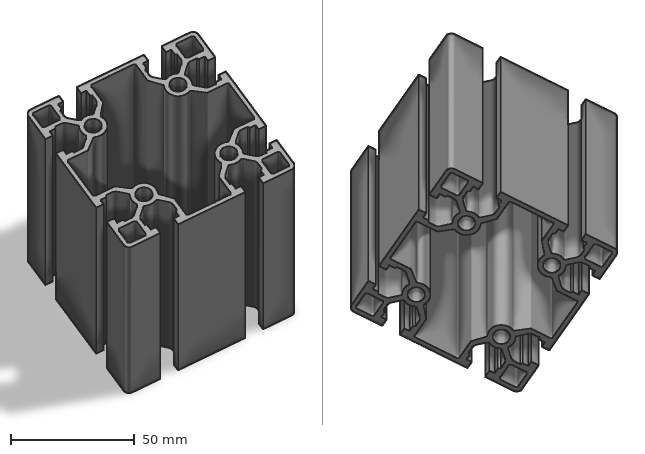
import cadquery as cq

side = 80.0
length = 100.0
wall = 2.0
corner_radius = 2.5
half_side = side / 2

slot_offset = 20.0
mouth_width = 8.3
mouth_half = mouth_width / 2
lip_depth = 3.5
neck_half = 6.6
step_start_depth = 6.1
step_end_depth = 6.7
channel_half = 7.5
channel_depth = 10.7
channel_radius = 3.0
slot_tip_depth = channel_depth + channel_half

boss_radius = 5.7
bore_radius = 3.5
boss_fillet = 1.0

hollow_size = 8.5
hollow_radius = 1.0

cavity_half = half_side - wall
slot_wall = 2.0
web_inner = slot_offset - channel_half - slot_wall
web_bend_depth = 11.9
web_bend = half_side - web_bend_depth
cavity_radius = 0.7
web_run = 5.0
web_rise = 4.2
web_meet = (web_rise * web_bend + web_run * web_inner) / (web_run + web_rise)


def corner_points(offset):
    """Four points at +-offset along both X and Y."""
    return [(x, y) for x in (-offset, offset) for y in (-offset, offset)]


boss_centers = corner_points(slot_offset)


def make_slot(offset):
    """T-slot cutter in the +Y face, its centre line at x = offset."""
    half_outline = [
        (mouth_half, 0),
        (mouth_half, lip_depth),
        (neck_half, lip_depth),
        (neck_half, step_start_depth),
        (channel_half, step_end_depth),
        (channel_half, channel_depth),
    ]
    right = [(offset + half, half_side - depth) for half, depth in half_outline]
    left = [(offset - half, half_side - depth) for half, depth in reversed(half_outline)]
    tip = (offset, half_side - slot_tip_depth)
    slot = cq.Workplane("XY").polyline(right + [tip] + left).close().extrude(length)
    for x in (offset - channel_half, offset + channel_half):
        bend = cq.selectors.NearestToPointSelector((x, half_side - channel_depth, length / 2))
        slot = slot.edges("|Z").edges(bend).fillet(channel_radius)
    return slot


def make_cavity():
    """Central cross-shaped cavity, narrowed towards the bosses."""
    corner = [
        (cavity_half, web_inner),
        (web_bend, web_inner),
        (web_meet, web_meet),
        (web_inner, web_bend),
        (web_inner, cavity_half),
    ]
    outline = []
    for _ in range(4):
        outline += corner
        corner = [(-y, x) for x, y in corner]
    return cq.Workplane("XY").polyline(outline).close().extrude(length).edges("|Z").fillet(cavity_radius)


def make_hollows():
    """Rounded square hollows behind the outer corners."""
    center = half_side - wall - hollow_size / 2
    hollows = (
        cq.Workplane("XY")
        .pushPoints(corner_points(center))
        .rect(hollow_size, hollow_size)
        .extrude(length)
    )
    return hollows.edges("|Z").fillet(hollow_radius)


def blend_boss(body, x, y):
    """Round the inner edges where the boss at (x, y) joins its webs."""
    near_boss = cq.selectors.BoxSelector(
        (x - boss_radius, y - boss_radius, 0),
        (x + boss_radius, y + boss_radius, length),
    )
    return body.edges("|Z").edges(near_boss).fillet(boss_fillet)


profile = cq.Workplane("XY").rect(side, side).extrude(length).edges("|Z").fillet(corner_radius)
profile = profile.cut(make_cavity())
for face_angle in (0, 90, 180, 270):
    for offset in (-slot_offset, slot_offset):
        profile = profile.cut(make_slot(offset).rotate((0, 0, 0), (0, 0, 1), face_angle))

bosses = cq.Workplane("XY").pushPoints(boss_centers).circle(boss_radius).extrude(length)
bores = cq.Workplane("XY").pushPoints(boss_centers).circle(bore_radius).extrude(length)
profile = profile.union(bosses)
for x, y in boss_centers:
    profile = blend_boss(profile, x, y)

result = profile.cut(bores).cut(make_hollows())